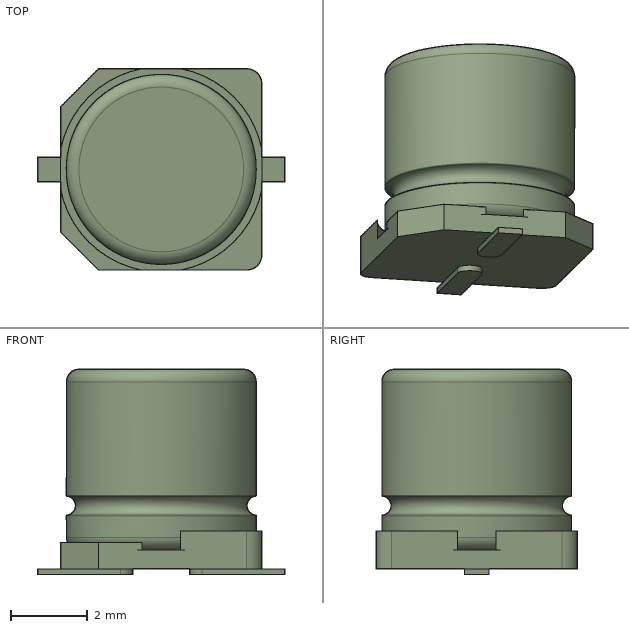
import cadquery as cq

overall_length = 6.5
overall_height = 5.4

lead_width = 0.65
lead_thickness = 0.15
lead_gap = 1.495

base_side = 5.3
base_low_top = 0.845
base_high_top = 1.15
corner_chamfer = 1.0
corner_radius = 0.4

seat_radius = 2.7
seat_floor = 0.645

can_radius = 5.0 / 2
can_edge_radius = 0.33
groove_center_height = 1.815
groove_depth = 0.24
groove_half_height = 0.25
groove_lip = 0.025


def make_base():
    plate = (
        cq.Workplane("XY")
        .workplane(offset=lead_thickness)
        .rect(base_side, base_side)
        .extrude(base_high_top - lead_thickness)
    )
    plate = plate.edges("|Z and <X").chamfer(corner_chamfer)
    plate = plate.edges("|Z and >X").fillet(corner_radius)
    step = (
        cq.Workplane("XY")
        .workplane(offset=base_low_top)
        .center(-base_side / 2, 0)
        .rect(base_side, base_side)
        .extrude(base_high_top - base_low_top)
    )
    seat = (
        cq.Workplane("XY")
        .workplane(offset=seat_floor)
        .circle(seat_radius)
        .extrude(base_high_top - seat_floor)
    )
    return plate.cut(step).cut(seat)


def make_can():
    can = (
        cq.Workplane("XY")
        .workplane(offset=seat_floor)
        .circle(can_radius)
        .extrude(overall_height - seat_floor)
        .edges()
        .fillet(can_edge_radius)
    )
    groove = (
        cq.Workplane("XZ")
        .moveTo(can_radius, groove_center_height - groove_half_height)
        .threePointArc(
            (can_radius - groove_depth, groove_center_height),
            (can_radius, groove_center_height + groove_half_height),
        )
        .close()
        .revolve(360, (0, 0, 0), (0, 1, 0))
    )
    can = can.cut(groove)
    lip_zone = cq.selectors.BoxSelector(
        (-can_radius, -can_radius, groove_center_height - groove_half_height - groove_lip),
        (can_radius, can_radius, groove_center_height + groove_half_height + groove_lip),
    )
    return can.edges("%CIRCLE").edges(lip_zone).fillet(groove_lip)


def make_lead(side):
    outer_end = overall_length / 2
    round_center = lead_gap / 2 + lead_width / 2
    strip_length = outer_end - round_center
    strip = (
        cq.Workplane("XY")
        .center(side * (round_center + strip_length / 2), 0)
        .rect(strip_length, lead_width)
        .extrude(lead_thickness)
    )
    inner_end = (
        cq.Workplane("XY")
        .center(side * round_center, 0)
        .circle(lead_width / 2)
        .extrude(lead_thickness)
    )
    return strip.union(inner_end)


result = make_base().union(make_can())
for side in (-1, 1):
    result = result.union(make_lead(side))